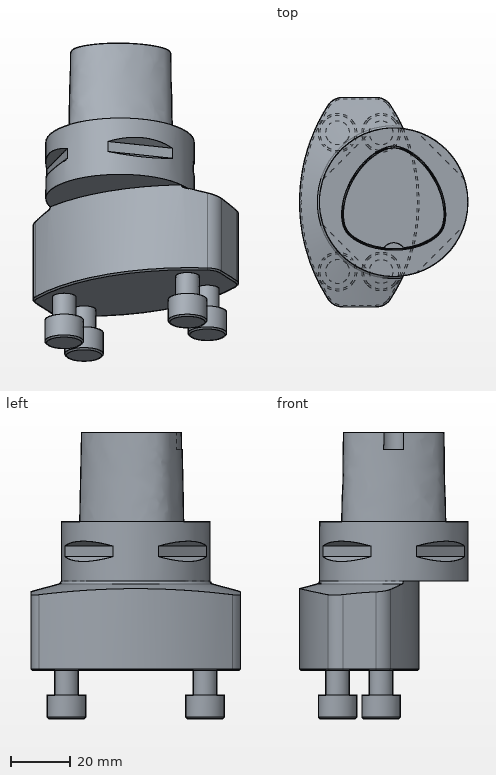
import cadquery as cq
import math

total_height = 96.3
screw_head_height = 8.0
body_bottom = 16.3
flange_bottom = 46.3
flange_top = 66.4

shank_base_diameter = 35.1
shank_top_diameter = 33.8
lobe_eccentricity = 1.35
notch_diameter = 8.0
notch_center_y = -17.6
notch_depth = 5.7

flange_diameter = 50.0
groove_floor_radius = 22.3
groove_floor_height = 3.6
groove_mouth_height = 6.8
groove_angles = (45, 135, 225, 315)

body_center_x = -11.6
body_half_thickness = 20.1
body_half_width = 35.3
body_arc_radius = 60.0
body_corner_radius = 6.0
body_bottom_chamfer = 0.6
shoulder_slope_angle = 15
shoulder_fillet_radius = 1

screw_offset_x = 7.3
screw_offset_y = 23.3
screw_diameter = 8.0
screw_head_diameter = 13.0
screw_head_chamfer = 0.6

flange_radius = flange_diameter / 2
body_left = body_center_x - body_half_thickness
body_right = body_center_x + body_half_thickness


def lobed_point(diameter, angle):
    """Point on a constant-width curve with one lobe pointing along +Y."""
    reach = diameter / 2 + lobe_eccentricity * math.cos(3 * angle)
    slide = -3 * lobe_eccentricity * math.sin(3 * angle)
    along_y = reach * math.cos(angle) - slide * math.sin(angle)
    along_x = reach * math.sin(angle) + slide * math.cos(angle)
    return (along_x, along_y)


def lobed_wire(diameter, height):
    point_count = 36
    points = [lobed_point(diameter, 2 * math.pi * i / point_count) for i in range(point_count)]
    outline = cq.Workplane("XY", origin=(0, 0, height)).spline(points, periodic=True).wire()
    return outline.val()


def make_shank():
    base = lobed_wire(shank_base_diameter, flange_top)
    top = lobed_wire(shank_top_diameter, total_height)
    shank = cq.Workplane(cq.Solid.makeLoft([base, top], True))
    notch = (
        cq.Workplane("XY", origin=(0, notch_center_y, total_height - notch_depth))
        .circle(notch_diameter / 2)
        .extrude(notch_depth)
    )
    return shank.cut(notch)


def make_flange():
    flange = (
        cq.Workplane("XY", origin=(0, 0, flange_bottom))
        .circle(flange_radius)
        .extrude(flange_top - flange_bottom)
    )
    middle = (flange_bottom + flange_top) / 2
    groove = (
        cq.Workplane("XZ")
        .moveTo(groove_floor_radius, middle - groove_floor_height / 2)
        .lineTo(flange_radius, middle - groove_mouth_height / 2)
        .lineTo(flange_radius, middle + groove_mouth_height / 2)
        .lineTo(groove_floor_radius, middle + groove_floor_height / 2)
        .close()
        .extrude(flange_radius, both=True)
    )
    for angle in groove_angles:
        flange = flange.cut(groove.rotate((0, 0, 0), (0, 0, 1), angle))
    return flange


def make_body():
    arc_sagitta = body_arc_radius - math.sqrt(body_arc_radius**2 - body_half_width**2)
    end_face_left = body_left + arc_sagitta
    end_face_right = body_right - arc_sagitta
    block = (
        cq.Workplane("XY", origin=(0, 0, body_bottom))
        .moveTo(end_face_left, -body_half_width)
        .lineTo(end_face_right, -body_half_width)
        .threePointArc((body_right, 0), (end_face_right, body_half_width))
        .lineTo(end_face_left, body_half_width)
        .threePointArc((body_left, 0), (end_face_left, -body_half_width))
        .close()
        .extrude(flange_bottom - body_bottom)
    )
    for corner_x in (end_face_left, end_face_right):
        for corner_y in (-body_half_width, body_half_width):
            corner = cq.selectors.NearestToPointSelector(
                (corner_x, corner_y, (body_bottom + flange_bottom) / 2)
            )
            block = block.edges(corner).fillet(body_corner_radius)
    block = block.faces("<Z").chamfer(body_bottom_chamfer)

    shoulder_radius = math.hypot(body_left, body_half_width)
    slope = math.radians(shoulder_slope_angle)
    fillet_center_radius = flange_radius + shoulder_fillet_radius
    cone_top_radius = fillet_center_radius - shoulder_fillet_radius * math.sin(slope)
    cone_top = flange_bottom - shoulder_fillet_radius * math.cos(slope)
    cone_bottom = cone_top - (shoulder_radius - cone_top_radius) * math.tan(slope)
    fillet_mid_angle = (math.pi / 2 + slope) / 2
    fillet_middle = (
        fillet_center_radius - shoulder_fillet_radius * math.sin(fillet_mid_angle),
        flange_bottom - shoulder_fillet_radius * math.cos(fillet_mid_angle),
    )
    shoulder = (
        cq.Workplane("XZ")
        .moveTo(0, body_bottom)
        .lineTo(shoulder_radius, body_bottom)
        .lineTo(shoulder_radius, cone_bottom)
        .lineTo(cone_top_radius, cone_top)
        .threePointArc(fillet_middle, (flange_radius, flange_bottom))
        .lineTo(0, flange_bottom)
        .close()
        .revolve(360, (0, 0, 0), (0, 1, 0))
    )
    return block.intersect(shoulder)


def make_screws():
    positions = [
        (body_center_x + side_x * screw_offset_x, side_y * screw_offset_y)
        for side_x in (-1, 1)
        for side_y in (-1, 1)
    ]
    heads = (
        cq.Workplane("XY")
        .pushPoints(positions)
        .circle(screw_head_diameter / 2)
        .extrude(screw_head_height)
        .faces("<Z")
        .chamfer(screw_head_chamfer)
    )
    shanks = (
        cq.Workplane("XY", origin=(0, 0, screw_head_height))
        .pushPoints(positions)
        .circle(screw_diameter / 2)
        .extrude(body_bottom - screw_head_height)
    )
    return heads.union(shanks)


result = make_body().union(make_flange()).union(make_shank()).union(make_screws())